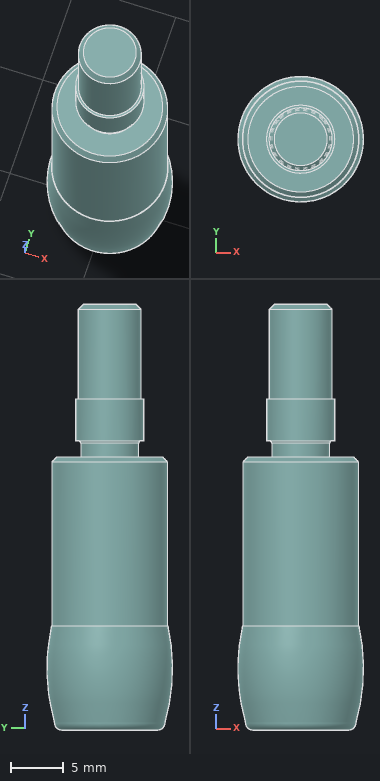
import cadquery as cq

grip_height = 9.92
grip_top_radius = 5.55
grip_bulge_radius = 11.95 / 2
grip_bulge_height = 5.35
grip_end_radius = 5.25
grip_end_rounding = 0.73

total_length = 40.5
edge_chamfer = 0.5
barrel_radius = 11.0 / 2
barrel_top = 26.0
neck_radius = 5.5 / 2
neck_flare_width = 0.12
neck_flare_height = 0.2
collar_radius = 6.5 / 2
collar_bottom = 27.5
collar_top = 31.5
shank_radius = 6.0 / 2


def make_grip():
    """Revolve the grip outline: flat end, rounded edge, bulged side, flat top."""
    arc_middle = grip_end_rounding * (1 - 0.5 ** 0.5)
    return (
        cq.Workplane("XZ")
        .lineTo(grip_end_radius - grip_end_rounding, 0)
        .threePointArc(
            (grip_end_radius - arc_middle, arc_middle),
            (grip_end_radius, grip_end_rounding),
        )
        .threePointArc((grip_bulge_radius, grip_bulge_height), (grip_top_radius, grip_height))
        .lineTo(0, grip_height)
        .close()
        .revolve(360, (0, 0, 0), (0, 1, 0))
    )


def make_pin():
    """Revolve the stepped pin outline from the barrel up to the shank tip."""
    return (
        cq.Workplane("XZ")
        .moveTo(0, grip_height)
        .lineTo(barrel_radius, grip_height)
        .lineTo(barrel_radius, barrel_top - edge_chamfer)
        .lineTo(barrel_radius - edge_chamfer, barrel_top)
        .lineTo(neck_radius, barrel_top)
        .lineTo(neck_radius, collar_bottom - neck_flare_height)
        .lineTo(neck_radius + neck_flare_width, collar_bottom)
        .lineTo(collar_radius, collar_bottom)
        .lineTo(collar_radius, collar_top)
        .lineTo(shank_radius, collar_top)
        .lineTo(shank_radius, total_length - edge_chamfer)
        .lineTo(shank_radius - edge_chamfer, total_length)
        .lineTo(0, total_length)
        .close()
        .revolve(360, (0, 0, 0), (0, 1, 0))
    )


grip = make_grip()
pin = make_pin()

result = cq.Compound.makeCompound([grip.val(), pin.val()])